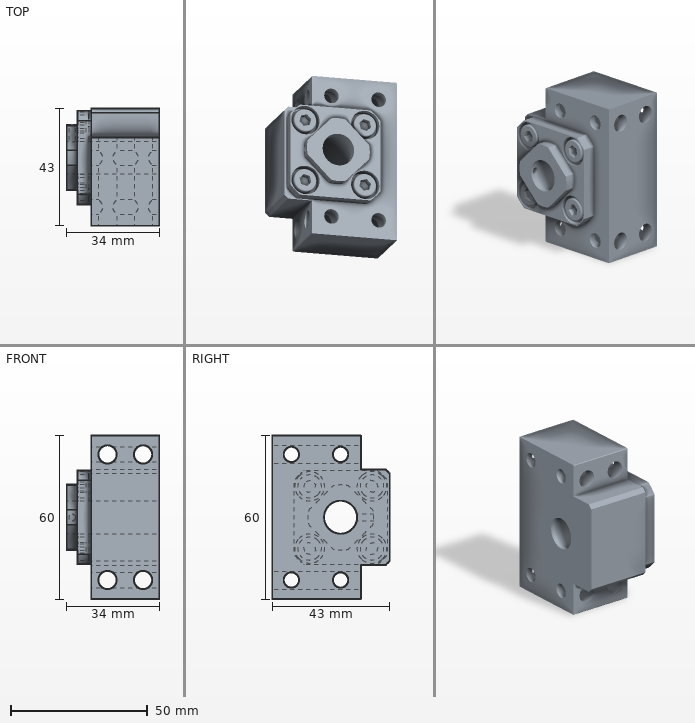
import cadquery as cq
import math


block_length = 25.0
block_height = 60.0
base_y = -25.0
shoulder_y = 7.5
shoulder_chamfer = 0.25
crown_y = 18.0
crown_height = 35.05
crown_chamfer = 1.5

flange_thickness = 5.0
flange_width = 34.3
flange_corner_diameter = 43.6
hub_length = 4.0
hub_diameter = 24.0
hub_across_flats = 20.4
bore_diameter = 12.0
set_screw_diameter = 2.45

mount_hole_z = 23.0
axial_hole_diameter = 5.5
axial_hole_places_y = (-18.0, 0.0)
cross_hole_diameter = 6.6
cross_hole_first_x = 6.0
cross_hole_pitch = 13.0

screw_offset = 11.4
counterbore_diameter = 10.8
counterbore_depth = 4.2
head_diameter = 8.5
head_fillet = 0.4
socket_across_flats = 4.0
socket_depth = 3.0
socket_turn = -15.0

flange_face_x = -flange_thickness
hub_face_x = flange_face_x - hub_length
half_height = block_height / 2
half_crown = crown_height / 2
sides = (-1, 1)


def x_cylinder(diameter, x_start, x_end, y=0.0, z=0.0):
    """Cylinder along X between two stations."""
    plane = cq.Workplane("YZ", origin=(x_start, y, z))
    return plane.circle(diameter / 2).extrude(x_end - x_start)


def make_block():
    """Block with a narrower crown on its +Y side."""
    upper_outline = [
        (base_y, half_height),
        (shoulder_y - shoulder_chamfer, half_height),
        (shoulder_y, half_height - shoulder_chamfer),
        (shoulder_y, half_crown),
        (crown_y - crown_chamfer, half_crown),
        (crown_y, half_crown - crown_chamfer),
    ]
    lower_outline = [(y, -z) for y, z in reversed(upper_outline)]
    return cq.Workplane("YZ").polyline(upper_outline + lower_outline).close().extrude(block_length)


def make_flange():
    """Square flange with its corners rounded to a common circle."""
    square = cq.Workplane("YZ", origin=(flange_face_x, 0, 0)).rect(flange_width, flange_width)
    disc = x_cylinder(flange_corner_diameter, flange_face_x, 0)
    return square.extrude(flange_thickness).intersect(disc)


def make_hub():
    """Round hub with four wrench flats at 45 degrees."""
    square = cq.Workplane("YZ", origin=(hub_face_x, 0, 0)).rect(hub_across_flats, hub_across_flats)
    flats = square.extrude(hub_length).rotate((0, 0, 0), (1, 0, 0), 45)
    return flats.intersect(x_cylinder(hub_diameter, hub_face_x, flange_face_x))


def make_screw_head(y_side, z_side):
    """Socket head flush with the flange face; the sockets mirror about both bore planes."""
    y = y_side * screw_offset
    z = z_side * screw_offset
    head = x_cylinder(head_diameter, flange_face_x, flange_face_x + counterbore_depth, y, z)
    head = head.faces("<X").fillet(head_fillet)

    socket_corner_diameter = socket_across_flats / math.cos(math.pi / 6)
    socket = (
        cq.Workplane("YZ", origin=(flange_face_x, y, z))
        .polygon(6, socket_corner_diameter)
        .extrude(socket_depth)
        .rotate((0, y, z), (1, y, z), y_side * z_side * socket_turn)
    )
    return head.cut(socket)


result = make_block().union(make_flange()).union(make_hub())

result = result.cut(x_cylinder(bore_diameter, hub_face_x, block_length))

set_screw_x = (hub_face_x + flange_face_x) / 2
set_screw_hole = (
    cq.Workplane("XZ", origin=(set_screw_x, 0, 0))
    .circle(set_screw_diameter / 2)
    .extrude(-hub_diameter / 2)
)
result = result.cut(set_screw_hole)

for side in sides:
    z = side * mount_hole_z
    for y in axial_hole_places_y:
        result = result.cut(x_cylinder(axial_hole_diameter, 0, block_length, y, z))
    for x in (cross_hole_first_x, cross_hole_first_x + cross_hole_pitch):
        cross_hole = cq.Workplane("XZ", origin=(x, base_y, z)).circle(cross_hole_diameter / 2)
        result = result.cut(cross_hole.extrude(base_y - shoulder_y))

for y_side in sides:
    for z_side in sides:
        counterbore = x_cylinder(
            counterbore_diameter,
            flange_face_x,
            flange_face_x + counterbore_depth,
            y_side * screw_offset,
            z_side * screw_offset,
        )
        result = result.cut(counterbore).union(make_screw_head(y_side, z_side))